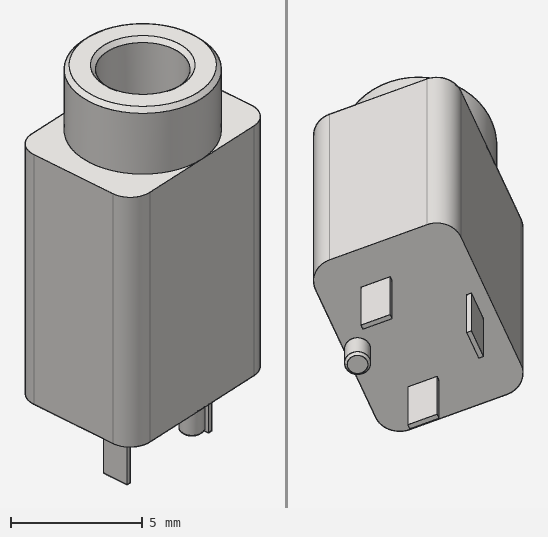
import cadquery as cq

total_height = 17.5
housing_width = 6.0
housing_depth = 8.0
corner_radius = 1.0

collar_height = 3.0
collar_diameter = housing_width
bore_diameter = 3.6
collar_chamfer = 0.2

terminal_length = 3.0
terminal_width = 1.2
terminal_thickness = 0.2
terminal_offset = 2.35
side_terminal_x = 0.75

peg_diameter = 1.0
peg_length = 1.2
peg_chamfer = 0.1
peg_x = (housing_width - peg_diameter) / 2

housing_height = total_height - collar_height - terminal_length


def make_terminal(x, y, size_x, size_y):
    """Flat blade hanging from the underside of the housing."""
    return (
        cq.Workplane("XY")
        .center(x, y)
        .rect(size_x, size_y)
        .extrude(-terminal_length)
    )


def make_peg():
    """Round locating peg with a chamfered tip."""
    return (
        cq.Workplane("XY")
        .center(peg_x, 0)
        .circle(peg_diameter / 2)
        .extrude(-peg_length)
        .faces("<Z")
        .chamfer(peg_chamfer)
    )


def make_housing():
    """Rounded block with its three terminals and locating peg."""
    block = (
        cq.Workplane("XY")
        .rect(housing_width, housing_depth)
        .extrude(housing_height)
        .edges("|Z")
        .fillet(corner_radius)
    )
    block = block.union(make_peg())
    block = block.union(make_terminal(-terminal_offset, 0, terminal_thickness, terminal_width))
    for side in (-1, 1):
        terminal = make_terminal(
            side_terminal_x, side * terminal_offset, terminal_width, terminal_thickness
        )
        block = block.union(terminal)
    return block


def make_collar():
    """Bored ring resting on the housing, chamfered at both rims of its top face."""
    return (
        cq.Workplane("XY")
        .workplane(offset=housing_height)
        .circle(collar_diameter / 2)
        .circle(bore_diameter / 2)
        .extrude(collar_height)
        .faces(">Z")
        .chamfer(collar_chamfer)
    )


housing = make_housing()
collar = make_collar()

result = cq.Compound.makeCompound([housing.val(), collar.val()])